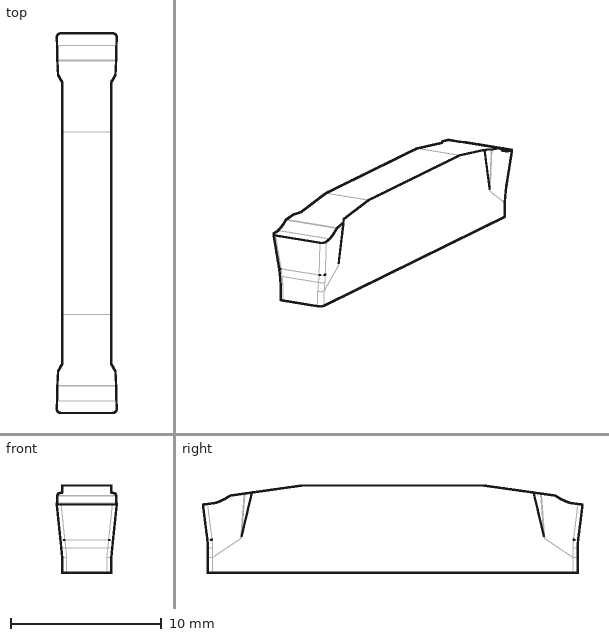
import cadquery as cq
import math

height = 5.8
tip_y = 12.6
tip_z = 4.55
land_y = 11.8
land_z = 4.65
crest_y = 10.8
groove_sag = 0.05
crest_radius = 0.13
flat_top_y = 6.05
top_slope = 8.0
front_relief = 7.2
relief_z = 2.2
body_end_z = 1.66

core_half_width = 1.65
side_relief = 5.5
back_taper = 3.7
corner_radius = 0.3

shoulder_y = 10.05
shoulder_z = 2.3
shoulder_lean = 4.4
shoulder_angle = 30.0
shoulder_radius = 0.13

blank_margin = 0.5
blank_inner_half_width = 1.25


def tangent(degrees):
    return math.tan(math.radians(degrees))


crest_z = height - (crest_y - flat_top_y) * tangent(top_slope)
relief_y = tip_y - (tip_z - relief_z) * tangent(front_relief)
body_end_y = relief_y - (relief_z - body_end_z) * tangent(front_relief / 2)


def profile_prism():
    """Half of the side profile mirrored about Y = 0 and extruded along X."""
    chord_y = land_y - crest_y
    chord_z = crest_z - land_z
    chord = math.hypot(chord_y, chord_z)
    groove_middle = (
        (land_y + crest_y) / 2 - groove_sag * chord_z / chord,
        (land_z + crest_z) / 2 - groove_sag * chord_y / chord,
    )
    half_width = core_half_width + height * tangent(side_relief)
    half = (
        cq.Workplane("YZ")
        .moveTo(0, 0)
        .lineTo(0, height)
        .lineTo(flat_top_y, height)
        .lineTo(crest_y, crest_z)
        .threePointArc(groove_middle, (land_y, land_z))
        .lineTo(tip_y, tip_z)
        .lineTo(relief_y, relief_z)
        .tangentArcPoint((body_end_y, body_end_z), relative=False)
        .lineTo(body_end_y, 0)
        .close()
        .extrude(half_width, both=True)
    )
    crest = cq.selectors.NearestToPointSelector((0, crest_y, crest_z))
    half = half.edges(crest).fillet(crest_radius)
    return half.union(half.mirror("XZ"))


def head_outline(z):
    """Plan outline of the +Y head at height z."""
    rise = z - shoulder_z
    y = shoulder_y - rise * tangent(shoulder_lean)
    half_width = (
        core_half_width + rise * tangent(side_relief) + (y - shoulder_y) * tangent(back_taper)
    )
    end_y = tip_y + blank_margin
    end_half_width = half_width + (end_y - y) * tangent(back_taper)
    inner_y = y - (half_width - blank_inner_half_width) / tangent(shoulder_angle)
    right_side = [
        (blank_inner_half_width, inner_y),
        (half_width, y),
        (end_half_width, end_y),
    ]
    left_side = [(-x, side_y) for x, side_y in reversed(right_side)]
    return right_side + left_side


def head_blank():
    """Tapered block for the +Y head, with rounded shoulder edges."""
    top = height + blank_margin
    blank = (
        cq.Workplane("XY")
        .polyline(head_outline(0))
        .close()
        .workplane(offset=top)
        .polyline(head_outline(top))
        .close()
        .loft(ruled=True, combine=True)
    )
    middle_z = top / 2
    outline = head_outline(middle_z)
    shoulder_x, edge_y = outline[1]
    for side in (1, -1):
        edge = cq.selectors.NearestToPointSelector((side * shoulder_x, edge_y, middle_z))
        blank = blank.edges(edge).fillet(shoulder_radius)
    return blank


def end_corners(solid):
    """Upright edges at the four outer corners of the part."""
    reach = body_end_y - corner_radius / 2
    edges = [
        edge
        for edge in solid.edges().vals()
        if abs(edge.Center().y) > reach
        and abs(edge.Center().x) > blank_inner_half_width
        and edge.BoundingBox().zlen > edge.BoundingBox().ylen
    ]
    return solid.newObject(edges)


core = cq.Workplane("XY").box(
    2 * core_half_width, 2 * tip_y, height, centered=(True, True, False)
)
head = head_blank()
part = core.union(head).union(head.mirror("XZ")).intersect(profile_prism())
result = end_corners(part).fillet(corner_radius)